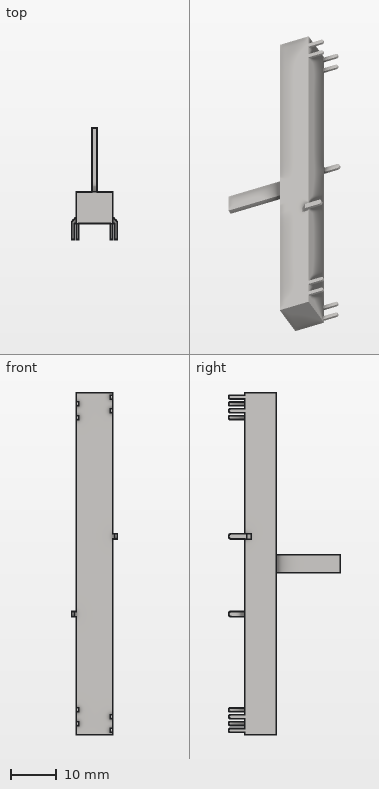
import cadquery as cq

body_width = 8.0
body_depth = 7.0
body_height = 75.0

lever_width = 1.2
lever_length = 14.0
lever_height = 4.0

pin_reach = 3.5

corner_pin_thickness = 0.5
corner_pin_width = 0.9
first_pin_inset = 1.0
pin_pitch = 1.5
pins_per_end = 4

overall_width = 10.0
side_pin_thickness = 0.6
side_pin_width = 1.2
bend_setback = 0.45
right_pin_z = 6.0
left_pin_z = -11.0

body_half_width = body_width / 2
overhang = (overall_width - body_width) / 2


def round_tip(pin, pin_width):
    """Round the free end of a pin to a full half circle across its width."""
    radius = pin_width / 2
    tip_y = -pin_reach
    silhouette = (
        cq.Workplane("YZ")
        .moveTo(body_depth, -radius)
        .lineTo(tip_y + radius, -radius)
        .threePointArc((tip_y, 0), (tip_y + radius, radius))
        .lineTo(body_depth, radius)
        .close()
        .extrude(overall_width, both=True)
    )
    return pin.intersect(silhouette)


def corner_pin():
    """Straight flat pin, flush with the +X side of the housing."""
    blade = cq.Workplane("XY").box(
        corner_pin_thickness, pin_reach, corner_pin_width
    )
    blade = blade.translate((body_half_width - corner_pin_thickness / 2, -pin_reach / 2, 0))
    return round_tip(blade, corner_pin_width)


def side_pin():
    """Pin that leaves the +X side at 45 degrees, filled down to the pin face."""
    outer_x = body_half_width + overhang
    inner_x = outer_x - side_pin_thickness
    blade = (
        cq.Workplane("XY")
        .moveTo(body_half_width, bend_setback + overhang)
        .lineTo(outer_x, bend_setback)
        .lineTo(outer_x, -pin_reach)
        .lineTo(inner_x, -pin_reach)
        .lineTo(inner_x, 0)
        .lineTo(body_half_width, 0)
        .close()
        .extrude(side_pin_width / 2, both=True)
    )
    return round_tip(blade, side_pin_width)


result = cq.Workplane("XY").box(body_width, body_depth, body_height)
result = result.translate((0, body_depth / 2, 0))
lever = cq.Workplane("XY").box(lever_width, lever_length, lever_height)
result = result.union(lever.translate((0, body_depth + lever_length / 2, 0)))

right_corner_pin = corner_pin()
left_corner_pin = right_corner_pin.mirror("YZ")
for index in range(pins_per_end):
    pin = right_corner_pin if index % 2 == 0 else left_corner_pin
    pin_z = body_height / 2 - first_pin_inset - index * pin_pitch
    for end in (-1, 1):
        result = result.union(pin.translate((0, 0, end * pin_z)))

right_side_pin = side_pin()
left_side_pin = right_side_pin.mirror("YZ")
result = result.union(right_side_pin.translate((0, 0, right_pin_z)))
result = result.union(left_side_pin.translate((0, 0, left_pin_z)))